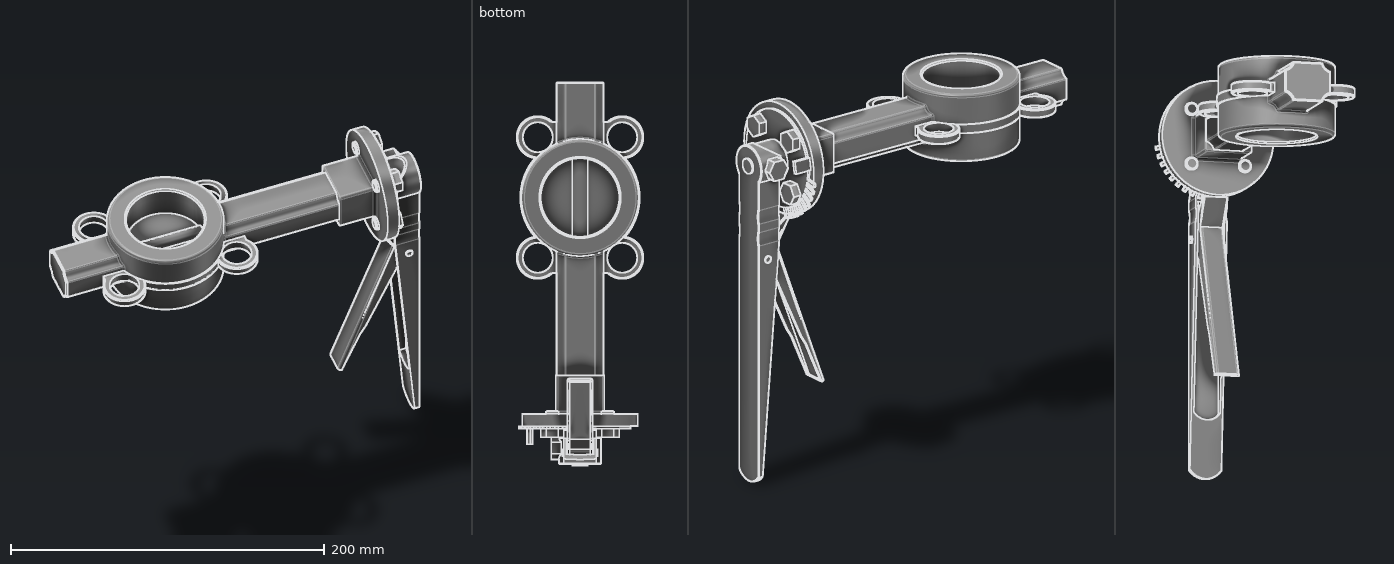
import cadquery as cq
import math


body_diameter = 75.0
body_half_height = 23.0
body_edge_fillet = 1.8
band_diameter = 76.5
band_height = 6.0
bore_diameter = 50.0
bore_chamfer = 1.0
column_half_width = 30.0 / 2
column_half_height = 25.0 / 2
column_corner_cut = 5.3
column_corner_sag = 0.8
column_edge_fillet = 0.8
column_root_fillet = 1.3
joint_reach = 4.5
column_end_chamfer = 0.8
column_end = -73.5
box_start = 113.3
box_width = 31.0
box_height = 27.0
box_edge_fillet = 1.5
box_end_fillet = 0.8
box_root_fillet = 2.0
flange_front = 138.1
flange_back = 146.0
flange_diameter = 74.0
ear_span = 81.0
ear_diameter = 27.0
ear_x = (ear_span - ear_diameter) / 2
ear_y = 38.5
ear_hole_diameter = 19.0
ear_edge_chamfer = 0.8
ear_web_reach = 9.9

disc_thickness = 2.5
stem_diameter = 10.0
stem_start = -45.5
stem_end = 171.3

plate_thickness = 1.5
plate_back = flange_back + plate_thickness
plate_radius = 32.5
tooth_tip_radius = 39.5
tooth_width = 2.3
tooth_count = 9
tooth_first_angle = 190.5
tooth_pitch = 8.15
tab_inner_radius = 31.4
tab_outer_radius = 33.6
tab_width = 8.0
tab_angle = 170
tab_end = 157.5

bolt_circle_diameter = 50.0
bolt_diameter = 8.0
bolt_front = 136.0
bolt_tip_chamfer = 0.8
hex_across_corners = 15.0
bolt_head_height = 5.5
bolt_offset = bolt_circle_diameter / 2 / math.sqrt(2)
bolt_places = [(sx * bolt_offset, sz * bolt_offset) for sx in (-1, 1) for sz in (-1, 1)]

lever_back = 170.3
lever_front = 153.5
lever_half_width = 21.0 / 2
lever_scallop_depth = 0.63
lever_back_chamfer = 0.5
lever_bottom = -216.0
lever_side_end = -210.5
lever_taper_start = -51.5
lever_tip_front = 167.2
lever_scallops = [(-27.3, -36.7), (-42.5, lever_taper_start)]
hub_diameter = 27.0
neck_diameter = 25.3
neck_end = 148.5
hub_cut_start = 164.7
hub_cut_end_z = 6.5
lever_back_wall = 2.0
pocket_half_width = 17.5 / 2
pocket_top = -39.2
pocket_side_end = -173.8
pocket_bottom = -178.4
clamp_y = 160.0
clamp_head_outer = 18.5

pin_y = 163.0
pin_z = -62.5
pin_diameter = 4.5
pin_half_length = 22.5 / 2
trigger_half_width = 8.0
trigger_wall = 1.5
arm_fillet = 0.8
web_fillet = 2.0
trigger_nose = (142.5, -37.7)
trigger_bend = (153.0, -55.5)
trigger_tip = (115.4, -156.9)
trigger_lip_end = (117.6, -157.9)
trigger_lip_start = (130.3, -128.8)
trigger_wall_end = (134.0, -122.7)
trigger_wall_start = (155.3, -76.5)
trigger_pivot_back = 167.0
trigger_pivot_half_height = 2.5
trigger_throat = (153.3, -43.5)
trigger_nose_back = (146.0, -38.2)


def cylinder_y(diameter, start, end, x=0, z=0):
    """Solid cylinder along Y between two Y positions."""
    plane = cq.Workplane("XZ", origin=(x, start, z))
    return plane.circle(diameter / 2).extrude(start - end)


def cylinder_x(diameter, start, end, y, z):
    """Solid cylinder along X between two X positions."""
    return cq.Workplane("YZ", origin=(start, y, z)).circle(diameter / 2).extrude(end - start)


def block(x0, x1, y0, y1, z0, z1):
    """Box given by its limits along each axis."""
    return cq.Workplane("XY").box(x1 - x0, y1 - y0, z1 - z0, centered=False).translate((x0, y0, z0))


def make_column():
    """Bar along the stem with a shallow concave flute on each long corner."""
    w = column_half_width
    h = column_half_height
    wi = w - column_corner_cut
    hi = h - column_corner_cut
    shift = column_corner_cut / 2 + column_corner_sag
    wm = w - shift
    hm = h - shift
    outline = (
        cq.Workplane("XZ", origin=(0, column_end, 0))
        .moveTo(-wi, h)
        .lineTo(wi, h)
        .threePointArc((wm, hm), (w, hi))
        .lineTo(w, -hi)
        .threePointArc((wm, -hm), (wi, -h))
        .lineTo(-wi, -h)
        .threePointArc((-wm, -hm), (-w, -hi))
        .lineTo(-w, hi)
        .threePointArc((-wm, hm), (-wi, h))
        .close()
    )
    column = outline.extrude(column_end - box_start).edges("|Y").fillet(column_edge_fillet)
    return column.faces("<Y").chamfer(column_end_chamfer)


def make_ears():
    """Four bolt eyes around the body, each with a web to the column."""
    web_inner_x = column_half_width / 2
    web_outer_x = ear_x
    web_inner_y = bore_diameter / 2
    web_outer_y = ear_y + ear_web_reach
    ears = cq.Workplane("XY")
    for sx in (-1, 1):
        for sy in (-1, 1):
            eye = (
                cq.Workplane("XY", origin=(sx * ear_x, sy * ear_y, -band_height / 2))
                .circle(ear_diameter / 2)
                .extrude(band_height)
                .edges()
                .chamfer(ear_edge_chamfer)
            )
            web = (
                cq.Workplane("XY")
                .box(web_outer_x - web_inner_x, web_outer_y - web_inner_y, band_height)
                .translate((sx * (web_outer_x + web_inner_x) / 2, sy * (web_outer_y + web_inner_y) / 2, 0))
            )
            ears = ears.add(eye.union(web))
    return ears.combine()


def make_housing():
    body = (
        cq.Workplane("XY", origin=(0, 0, -body_half_height))
        .circle(body_diameter / 2)
        .extrude(2 * body_half_height)
        .edges()
        .fillet(body_edge_fillet)
    )
    band = cq.Workplane("XY", origin=(0, 0, -band_height / 2)).circle(band_diameter / 2).extrude(band_height)
    box = (
        cq.Workplane("XZ", origin=(0, box_start, 0))
        .rect(box_width, box_height)
        .extrude(box_start - flange_front)
        .edges("|Y")
        .fillet(box_edge_fillet)
        .faces("<Y")
        .edges()
        .fillet(box_end_fillet)
    )
    flange = cylinder_y(flange_diameter, flange_front, flange_back)
    root_box = (
        (-box_width, flange_front - box_end_fillet, -box_height),
        (box_width, flange_front + box_end_fillet, box_height),
    )
    mount = box.union(flange)
    mount = mount.edges(cq.selectors.BoxSelector(*root_box)).edges("%LINE").fillet(box_root_fillet)
    housing = body.union(make_column())
    for y in (-body_diameter / 2, body_diameter / 2):
        joint_box = (
            (-box_width / 2, y - joint_reach, -box_height / 2),
            (box_width / 2, y + joint_reach, box_height / 2),
        )
        housing = housing.edges(cq.selectors.BoxSelector(*joint_box)).fillet(column_root_fillet)
    housing = housing.union(band).union(make_ears()).union(mount)
    bore = (
        cq.Workplane("XY", origin=(0, 0, -body_half_height))
        .circle(bore_diameter / 2)
        .extrude(2 * body_half_height)
    )
    housing = housing.cut(bore)
    for end in (-1, 1):
        mouth = cq.Solid.makeCone(
            bore_diameter / 2 + bore_chamfer,
            bore_diameter / 2,
            bore_chamfer,
            pnt=cq.Vector(0, 0, end * body_half_height),
            dir=cq.Vector(0, 0, -end),
        )
        housing = housing.cut(cq.Workplane(mouth))
    eye_holes = (
        cq.Workplane("XY", origin=(0, 0, -band_height / 2))
        .rect(2 * ear_x, 2 * ear_y, forConstruction=True)
        .vertices()
        .circle(ear_hole_diameter / 2)
        .extrude(band_height)
    )
    housing = housing.cut(eye_holes)
    housing = housing.cut(cylinder_y(stem_diameter, stem_start, flange_back))
    for x, z in bolt_places:
        housing = housing.cut(cylinder_y(bolt_diameter, bolt_front, flange_back, x, z))
    return housing


def make_disc():
    disc = (
        cq.Workplane("XY", origin=(0, 0, -disc_thickness / 2))
        .circle(bore_diameter / 2)
        .extrude(disc_thickness)
    )
    return disc.union(cylinder_y(stem_diameter, stem_start, stem_end))


def radial_block(inner, outer, end, width, angle):
    """Block standing on the flange, centred on a radius at the given angle from +X towards +Z."""
    straight = block(inner, outer, flange_back, end, -width / 2, width / 2)
    return straight.rotate((0, 0, 0), (0, 1, 0), -angle)


def make_notch_plate():
    plate = cylinder_y(2 * plate_radius, flange_back, plate_back)
    for i in range(tooth_count):
        angle = tooth_first_angle + i * tooth_pitch
        plate = plate.union(radial_block(0, tooth_tip_radius, plate_back, tooth_width, angle))
    plate = plate.union(radial_block(tab_inner_radius, tab_outer_radius, tab_end, tab_width, tab_angle))
    plate = plate.cut(cylinder_y(stem_diameter, flange_back, plate_back))
    for x, z in bolt_places:
        plate = plate.cut(cylinder_y(bolt_diameter, flange_back, plate_back, x, z))
    return plate


def make_bolt(x, z):
    """Hexagon bolt; the upper heads point a corner along Z, the lower ones along X."""
    head_angle = 90 if z > 0 else 0
    shank = cylinder_y(bolt_diameter, bolt_front, plate_back, x, z).faces("<Y").chamfer(bolt_tip_chamfer)
    head = (
        cq.Workplane("XZ", origin=(x, plate_back, z))
        .transformed(rotate=(0, 0, head_angle))
        .polygon(6, hex_across_corners)
        .extrude(-bolt_head_height)
    )
    return shank.union(head)


def make_lever():
    w = lever_half_width
    face = (
        cq.Workplane("XZ", origin=(0, lever_back, 0))
        .moveTo(-w, 0)
        .lineTo(-w, lever_side_end)
        .threePointArc((0, lever_bottom), (w, lever_side_end))
        .lineTo(w, 0)
        .close()
        .extrude(lever_back - lever_front)
    )
    for top, bottom in lever_scallops:
        for side_sign in (-1, 1):
            scallop = (
                cq.Workplane("XZ", origin=(0, lever_back, 0))
                .moveTo(side_sign * w, top)
                .threePointArc(
                    (side_sign * (w - lever_scallop_depth), (top + bottom) / 2), (side_sign * w, bottom)
                )
                .close()
                .extrude(lever_back - lever_front)
            )
            face = face.cut(scallop)
    side = (
        cq.Workplane("YZ", origin=(-w, 0, 0))
        .moveTo(lever_back, 0)
        .lineTo(lever_front, 0)
        .lineTo(lever_front, lever_taper_start)
        .lineTo(lever_tip_front, lever_bottom)
        .lineTo(lever_back, lever_bottom)
        .close()
        .extrude(2 * w)
    )
    grip = face.intersect(side)
    p = pocket_half_width
    pocket = (
        cq.Workplane("XZ", origin=(0, lever_back - lever_back_wall, 0))
        .moveTo(-p, pocket_top)
        .lineTo(-p, pocket_side_end)
        .threePointArc((0, pocket_bottom), (p, pocket_side_end))
        .lineTo(p, pocket_top)
        .close()
        .extrude(lever_back - lever_front)
    )
    hub = cylinder_y(hub_diameter, lever_front, lever_back)
    hub_cut = (
        cq.Workplane("YZ", origin=(-hub_diameter, 0, 0))
        .moveTo(hub_cut_start, hub_diameter / 2)
        .lineTo(lever_front, hub_cut_end_z)
        .lineTo(lever_front, hub_diameter / 2)
        .close()
        .extrude(2 * hub_diameter)
    )
    neck = cylinder_y(neck_diameter, neck_end, hub_cut_start)
    clamp_head = (
        cq.Workplane("YZ", origin=(-clamp_head_outer, clamp_y, 0))
        .polygon(6, hex_across_corners)
        .extrude(clamp_head_outer)
    )
    lever = grip.cut(pocket).union(hub.cut(hub_cut)).union(neck).union(clamp_head)
    lever = lever.faces(">Y").edges().chamfer(lever_back_chamfer)
    lever = lever.cut(cylinder_y(stem_diameter, neck_end, lever_back))
    return lever.cut(cylinder_x(pin_diameter, -w, w, pin_y, pin_z))


def inward_normal(start, end):
    """Unit normal (Y, Z) of a trigger face, pointing from its outline into the channel."""
    dy = end[0] - start[0]
    dz = end[1] - start[1]
    length = math.hypot(dy, dz)
    return (-dz / length, dy / length)


def make_trigger():
    """Bent channel: web in front, two side walls, and the pivot pin across them."""
    t = trigger_half_width
    profile = [
        trigger_nose,
        trigger_bend,
        trigger_tip,
        trigger_lip_end,
        trigger_lip_start,
        trigger_wall_end,
        trigger_wall_start,
        (trigger_pivot_back, pin_z - trigger_pivot_half_height),
        (trigger_pivot_back, pin_z + trigger_pivot_half_height),
        trigger_throat,
        trigger_nose_back,
    ]
    trigger = cq.Workplane("YZ", origin=(-t, 0, 0)).polyline(profile).close().extrude(2 * t)
    rounded_folds = (
        (trigger_nose, trigger_bend, arm_fillet),
        (trigger_bend, trigger_tip, web_fillet),
    )
    for start, end, radius in rounded_folds:
        middle_y = (start[0] + end[0]) / 2
        middle_z = (start[1] + end[1]) / 2
        for x in (-t, t):
            long_edge = cq.selectors.NearestToPointSelector((x, middle_y, middle_z))
            trigger = trigger.edges(long_edge).fillet(radius)

    arm = inward_normal(trigger_nose, trigger_bend)
    web = inward_normal(trigger_bend, trigger_tip)
    miter = trigger_wall / (1 + arm[0] * web[0] + arm[1] * web[1])
    channel = [
        (trigger_nose[0] + trigger_wall * arm[0], trigger_nose[1] + trigger_wall * arm[1]),
        (trigger_bend[0] + miter * (arm[0] + web[0]), trigger_bend[1] + miter * (arm[1] + web[1])),
        (trigger_tip[0] + trigger_wall * web[0], trigger_tip[1] + trigger_wall * web[1]),
        (lever_back, trigger_tip[1]),
        (lever_back, trigger_nose[1]),
    ]
    inside = t - trigger_wall
    hollow = cq.Workplane("YZ", origin=(-inside, 0, 0)).polyline(channel).close().extrude(2 * inside)
    trigger = trigger.cut(hollow)
    return trigger.union(cylinder_x(pin_diameter, -pin_half_length, pin_half_length, pin_y, pin_z))


housing = make_housing()
disc = make_disc()
notch_plate = make_notch_plate()
lever = make_lever()
trigger = make_trigger()
bolts = [make_bolt(x, z).val() for x, z in bolt_places]

result = cq.Compound.makeCompound(
    [housing.val(), disc.val(), notch_plate.val(), lever.val(), trigger.val(), *bolts]
)